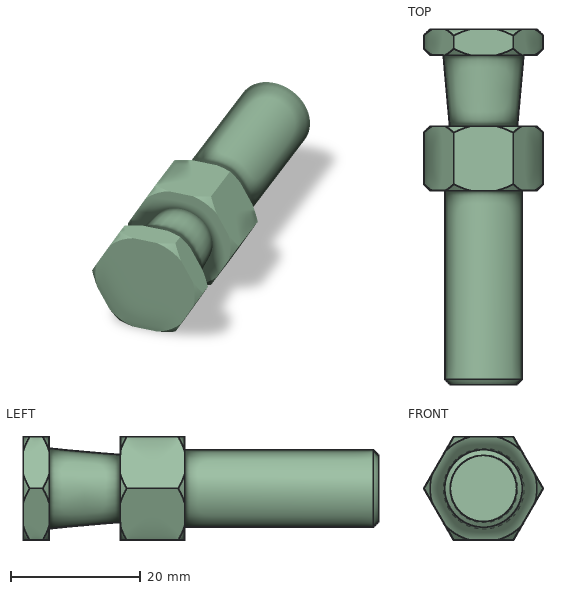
import cadquery as cq
import math

total_length = 55.0
across_flats = 16.0
head_thickness = 4.0
nut_start = 15.0
nut_length = 9.95
shank_diameter = 12.0
shank_chamfer = 0.9
neck_head_diameter = 12.5
neck_nut_diameter = 10.5
hex_chamfer_width = 1.0
hex_chamfer_length = 1.0

across_corners = across_flats / math.cos(math.pi / 6)
corner_radius = across_corners / 2
nut_end = nut_start + nut_length


def revolved(profile):
    """Revolve a closed (radius, y) outline about the Y axis."""
    return cq.Workplane("XY").polyline(profile).close().revolve(360, (0, 0, 0), (0, 1, 0))


def chamfered_hexagon(start, length):
    """Hexagon with corners on the X axis and conically trimmed ends, extending toward -Y."""
    hexagon = (
        cq.Workplane("XZ", origin=(0, -start, 0))
        .polygon(6, across_corners)
        .extrude(length)
    )
    face_radius = corner_radius - hex_chamfer_width
    end = start + length
    envelope = revolved([
        (0, -start),
        (face_radius, -start),
        (corner_radius, -start - hex_chamfer_length),
        (corner_radius, -end + hex_chamfer_length),
        (face_radius, -end),
        (0, -end),
    ])
    return hexagon.intersect(envelope)


head = chamfered_hexagon(0, head_thickness)
nut = chamfered_hexagon(nut_start, nut_length)

neck = revolved([
    (0, -head_thickness),
    (neck_head_diameter / 2, -head_thickness),
    (neck_nut_diameter / 2, -nut_start),
    (0, -nut_start),
])

shank = (
    cq.Workplane("XZ", origin=(0, -nut_end, 0))
    .circle(shank_diameter / 2)
    .extrude(total_length - nut_end)
    .faces("<Y")
    .chamfer(shank_chamfer)
)

result = head.union(neck).union(nut).union(shank)